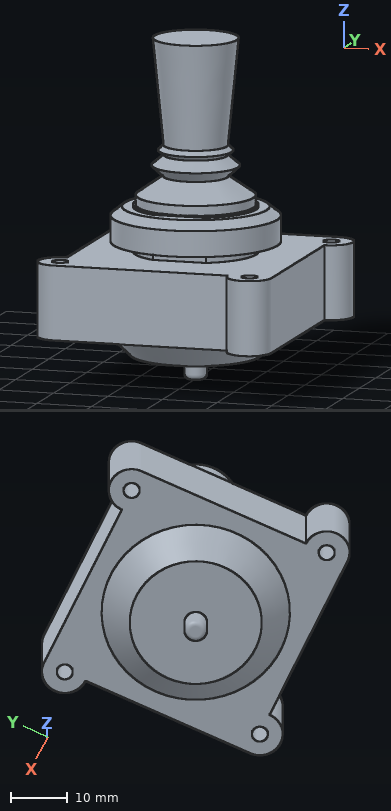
import cadquery as cq

total_height = 60.95

housing_side = 40.0
housing_bottom_z = 9.4
housing_top_z = 22.8
lug_radius = 4.0
lug_hole_diameter = 2.8

cone_bottom_z = 4.45
cone_top_radius = 16.5
cone_bottom_radius = cone_top_radius - (housing_bottom_z - cone_bottom_z)
pin_radius = 2.0
pin_end_fillet = 1.0

neck_radius = 11.05
neck_across_flats = 19.8
neck_top_z = 31.15
nut_radius = 15.0
nut_bottom_z = 24.6
nut_top_z = 30.85
nut_chamfer_height = 1.6
nut_chamfer_width = 2.0

boot_radius = 10.575
boot_shoulder_z = 32.9
lower_groove_radius = 5.7
lower_groove_z = 36.25
large_ridge_radius = 7.8
large_ridge_z = 38.2
upper_groove_radius = 5.6
upper_groove_z = 40.05
small_ridge_radius = 6.65
small_ridge_z = 40.9

grip_bottom_z = 41.8
grip_bottom_radius = 5.65
grip_top_radius = 7.55


def revolve_profile(points):
    """Revolve an outline of (radius, z) points, closed along Z, around the Z axis."""
    bottom_z = points[0][1]
    top_z = points[-1][1]
    outline = cq.Workplane("XZ").polyline([(0, bottom_z), *points, (0, top_z)]).close()
    return outline.revolve(360, (0, 0, 0), (0, 1, 0))


def make_housing():
    """Square block whose four lugs follow each other round the corners."""
    height = housing_top_z - housing_bottom_z
    base = cq.Workplane("XY").workplane(offset=housing_bottom_z)
    half_side = housing_side / 2
    inset = half_side - lug_radius
    lug_centers = [
        (-inset, half_side),
        (half_side, inset),
        (inset, -half_side),
        (-half_side, -inset),
    ]
    block = base.rect(housing_side, housing_side).extrude(height)
    lugs = base.pushPoints(lug_centers).circle(lug_radius).extrude(height)
    holes = base.pushPoints(lug_centers).circle(lug_hole_diameter / 2).extrude(height)
    return block.union(lugs).cut(holes)


def make_cone():
    """Cone that narrows downwards from the housing."""
    return revolve_profile([
        (cone_bottom_radius, cone_bottom_z),
        (cone_top_radius, housing_bottom_z),
    ])


def make_pin():
    """Round pin with a rounded lower end, standing out below the cone."""
    pin = cq.Workplane("XY").circle(pin_radius).extrude(cone_bottom_z)
    return pin.faces("<Z").edges().fillet(pin_end_fillet)


def make_neck():
    """Round neck trimmed by flats facing -Y and +Y."""
    base = cq.Workplane("XY").workplane(offset=housing_top_z)
    height = neck_top_z - housing_top_z
    cylinder = base.circle(neck_radius).extrude(height)
    flats = base.rect(2 * neck_radius, neck_across_flats).extrude(height)
    return cylinder.intersect(flats)


def make_nut():
    """Round nut with a chamfered upper edge."""
    return revolve_profile([
        (nut_radius, nut_bottom_z),
        (nut_radius, nut_top_z - nut_chamfer_height),
        (nut_radius - nut_chamfer_width, nut_top_z),
    ])


def make_lever():
    """Ribbed boot and the grip that widens towards the top."""
    return revolve_profile([
        (boot_radius, neck_top_z),
        (boot_radius, boot_shoulder_z),
        (lower_groove_radius, lower_groove_z),
        (large_ridge_radius, large_ridge_z),
        (upper_groove_radius, upper_groove_z),
        (small_ridge_radius, small_ridge_z),
        (grip_bottom_radius, grip_bottom_z),
        (grip_top_radius, total_height),
    ])


result = (
    make_housing()
    .union(make_cone())
    .union(make_pin())
    .union(make_neck())
    .union(make_nut())
    .union(make_lever())
)